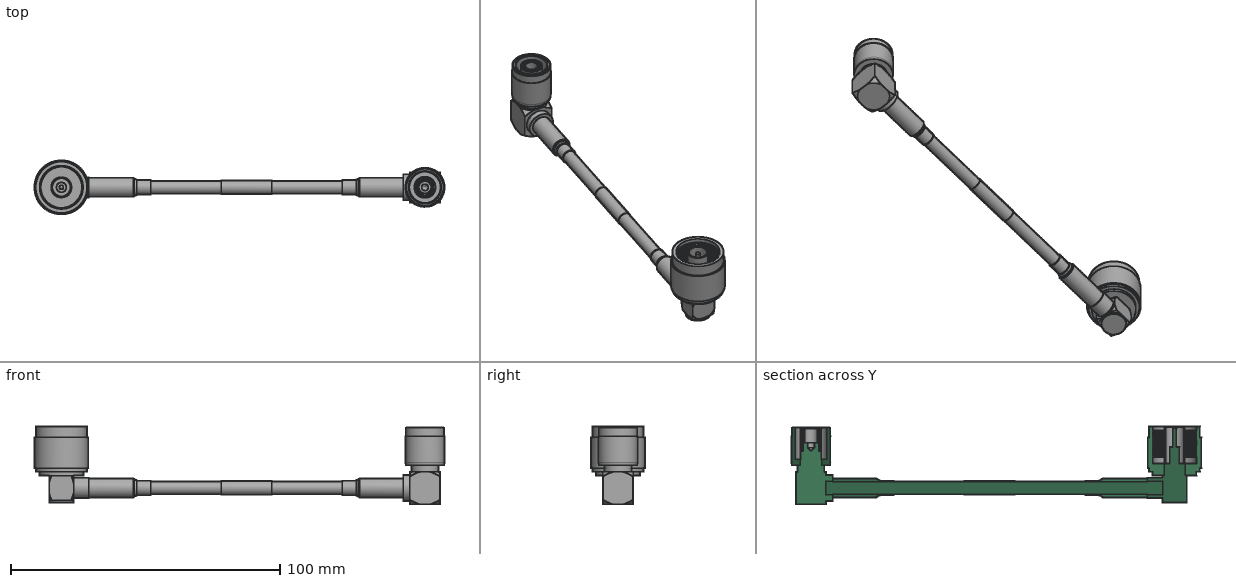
import cadquery as cq
import math


overall_length = 152.4
large_nut_radius = 10.0
small_nut_radius = 7.3
large_axis_x = large_nut_radius
small_axis_x = overall_length - small_nut_radius

large_block_half = 4.5
large_block_face_radius = 4.9
large_cap_bottom = -5.5
large_stub_radius = 3.8
large_stub_end = 20.3
large_nut_bottom = 4.5
large_nut_hub_top = 6.0
large_nut_step_top = 7.3
large_nut_band_top = 18.7
large_nut_top = 22.9
large_nut_hub_radius = 8.2
large_nut_end_radius = 19.0 / 2
large_nut_bore = 8.0
thread_ridge_radius = 7.6
thread_pitch = 0.8
thread_count = 13
thread_top = 21.3
large_nut_floor = 9.1
large_shell_outer = 3.8
large_shell_inner = 3.4
large_shell_top = 22.5
large_pin_radius = 1.8
large_pin_shoulder = 15.2
large_pin_tip_radius = 0.8
large_pin_tip = 22.7

small_block_half = 5.6
small_block_face_radius = 6.0
small_block_bottom = -6.1
small_block_top = 6.0
small_collar_radius = 4.9
small_collar_start = small_axis_x - 8.0
small_neck_radius = 5.0
small_nut_bottom = 8.4
small_nut_step_top = 9.6
small_nut_band_top = 19.2
small_nut_top = 22.5
small_nut_end_radius = 7.2
small_nut_bore = 5.8
small_nut_edge = 0.3
small_nut_floor = 10.7
small_shell_outer = 4.0
small_shell_inner = 3.4
small_core_outer = 2.9
small_core_bore = 2.3
small_shell_top = 22.0
small_shell_floor = 13.7
small_socket_radius = 1.2
small_socket_top = 16.8
small_socket_cone_top = 15.0
small_socket_bottom = 13.7

large_chamfer_angle = 30.0
small_chamfer_angle = 40.0

cable_radius = 4.9 / 2
label_radius = 5.2 / 2
ring_radius = 5.5 / 2
sleeve_radius = 7.2 / 2
sleeve_lip_radius = 3.2
sleeve_tip_radius = 2.9
sleeve_lip_length = 1.4
sleeve_edge_length = 0.5
label_start = 69.5
label_end = 88.2
left_sleeve_end = 38.1
left_ring_end = 43.3
right_ring_start = 114.4
right_sleeve_start = 119.5


def upright_turning(axis_x, outline):
    """Solid of revolution about a vertical axis, from (radius, height) points."""
    turned = cq.Workplane("XZ").polyline(outline).close()
    return turned.revolve(360, (0, 0, 0), (0, 1, 0)).translate((axis_x, 0, 0))


def disc(axis_x, radius, bottom, top):
    return cq.Workplane("XY", origin=(axis_x, 0, bottom)).circle(radius).extrude(top - bottom)


def rod(radius, start, end):
    """Cylinder along the cable axis."""
    return cq.Workplane("YZ", origin=(start, 0, 0)).circle(radius).extrude(end - start)


def tube(outer, inner, start, end):
    return rod(outer, start, end).cut(rod(inner, start, end))


def trimmed_block(half, bottom, top, face_radius, angle):
    """Upright square block whose corners are cut by a cone at both ends, around the Z axis."""
    block = cq.Workplane("XY", origin=(0, 0, bottom)).rect(2 * half, 2 * half).extrude(top - bottom)
    corner = half * math.sqrt(2)
    drop = (corner - face_radius) * math.tan(math.radians(angle))
    envelope = upright_turning(0, [
        (0, bottom), (face_radius, bottom), (corner, bottom + drop),
        (corner, top - drop), (face_radius, top), (0, top),
    ])
    return block.intersect(envelope)


def thread_ridges():
    """Inner outline of the large nut from top to bottom: a row of V-shaped ridges."""
    points = []
    for turn in range(thread_count):
        height = thread_top - turn * thread_pitch
        points.append((large_nut_bore, height))
        points.append((thread_ridge_radius, height - thread_pitch / 2))
    points.append((large_nut_bore, thread_top - thread_count * thread_pitch))
    return points


def large_nut():
    return upright_turning(large_axis_x, [
        (large_shell_outer, large_nut_bottom),
        (large_nut_hub_radius, large_nut_bottom),
        (large_nut_hub_radius, large_nut_hub_top),
        (large_nut_end_radius, large_nut_hub_top),
        (large_nut_end_radius, large_nut_step_top),
        (large_nut_radius, large_nut_step_top),
        (large_nut_radius, large_nut_band_top),
        (large_nut_end_radius, large_nut_band_top),
        (large_nut_end_radius, large_nut_top),
        (large_nut_bore, large_nut_top),
        *thread_ridges(),
        (large_nut_bore, large_nut_floor),
        (large_shell_outer, large_nut_floor),
    ])


def large_elbow():
    block = trimmed_block(
        large_block_half, -large_block_half, large_block_half, large_block_face_radius, large_chamfer_angle
    )
    body = block.rotate((0, 0, 0), (0, 1, 0), 90).translate((large_axis_x, 0, 0))
    body = body.union(disc(large_axis_x, large_block_half, large_cap_bottom, 0))
    body = body.union(rod(large_stub_radius, large_axis_x, large_stub_end))
    contacts = upright_turning(large_axis_x, [
        (0, 0),
        (large_shell_outer, 0),
        (large_shell_outer, large_shell_top),
        (large_shell_inner, large_shell_top),
        (large_shell_inner, large_nut_floor),
        (large_pin_radius, large_nut_floor),
        (large_pin_radius, large_pin_shoulder),
        (large_pin_tip_radius, large_pin_shoulder),
        (large_pin_tip_radius, large_pin_tip - large_pin_tip_radius),
        (0, large_pin_tip),
    ])
    body = body.union(contacts)
    return body.cut(rod(cable_radius, large_axis_x + large_block_half, large_stub_end))


def small_nut():
    return upright_turning(small_axis_x, [
        (small_shell_outer, small_nut_bottom),
        (small_nut_end_radius, small_nut_bottom),
        (small_nut_radius, small_nut_step_top),
        (small_nut_radius, small_nut_band_top),
        (small_nut_end_radius, small_nut_band_top),
        (small_nut_end_radius, small_nut_top - small_nut_edge),
        (small_nut_end_radius - small_nut_edge, small_nut_top),
        (small_nut_bore + small_nut_edge, small_nut_top),
        (small_nut_bore, small_nut_top - small_nut_edge),
        (small_nut_bore, small_nut_floor),
        (small_shell_outer, small_nut_floor),
    ])


def small_elbow():
    body = trimmed_block(
        small_block_half, small_block_bottom, small_block_top, small_block_face_radius, small_chamfer_angle
    ).translate((small_axis_x, 0, 0))
    body = body.union(rod(small_collar_radius, small_collar_start, small_axis_x))
    body = body.union(disc(small_axis_x, small_neck_radius, 0, small_nut_bottom))
    contacts = upright_turning(small_axis_x, [
        (0, 0),
        (small_shell_outer, 0),
        (small_shell_outer, small_shell_top),
        (small_shell_inner, small_shell_top),
        (small_shell_inner, small_shell_floor),
        (small_core_outer, small_shell_floor),
        (small_core_outer, small_shell_top),
        (small_core_bore, small_shell_top),
        (small_core_bore, small_socket_top),
        (small_socket_radius, small_socket_top),
        (small_socket_radius, small_socket_cone_top),
        (0, small_socket_bottom),
    ])
    body = body.union(contacts)
    return body.cut(rod(cable_radius, small_collar_start, small_axis_x - small_block_half))


def crimp_sleeve(start, end):
    """Tube around the cable whose free end, at `end`, tapers in two steps."""
    direction = math.copysign(1, end - start)
    shoulder = end - direction * sleeve_lip_length
    lip_start = shoulder + direction * sleeve_edge_length
    outline = [
        (start, cable_radius), (start, sleeve_radius), (shoulder, sleeve_radius),
        (lip_start, sleeve_lip_radius), (end, sleeve_tip_radius), (end, cable_radius),
    ]
    return cq.Workplane("XY").polyline(outline).close().revolve(360, (0, 0, 0), (1, 0, 0))


large_coupling_nut = large_nut()
large_connector = large_elbow()
small_coupling_nut = small_nut()
small_connector = small_elbow()
cable = rod(cable_radius, large_axis_x + large_block_half, small_axis_x - small_block_half)
label = tube(label_radius, cable_radius, label_start, label_end)
sleeves = [
    crimp_sleeve(large_stub_end, left_sleeve_end),
    crimp_sleeve(small_collar_start, right_sleeve_start),
]
rings = [
    tube(ring_radius, cable_radius, start, end)
    for start, end in [(left_sleeve_end, left_ring_end), (right_ring_start, right_sleeve_start)]
]

result = cq.Compound.makeCompound([
    large_coupling_nut.val(),
    large_connector.val(),
    small_coupling_nut.val(),
    small_connector.val(),
    cable.val(),
    label.val(),
    *[sleeve.val() for sleeve in sleeves],
    *[ring.val() for ring in rings],
])